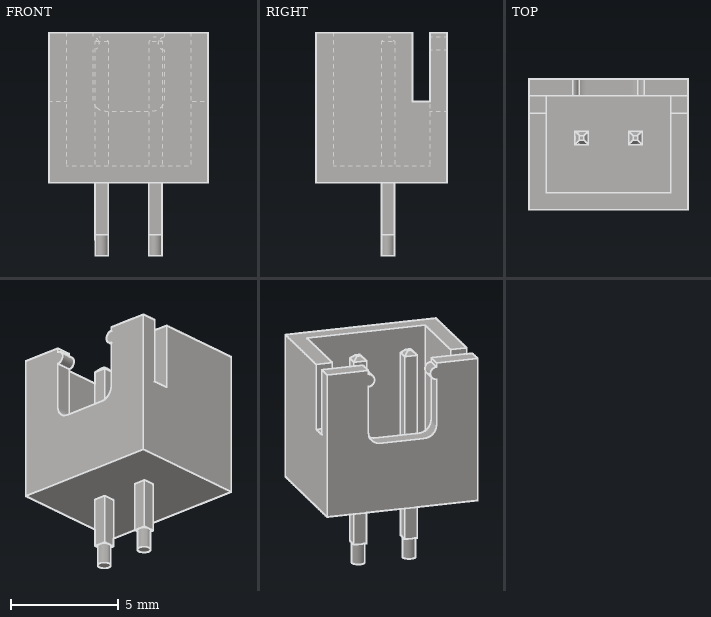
import cadquery as cq


length = 7.4
depth = 6.1
total_height = 10.4
wall = 0.8
floor = wall

pin_pitch = 2.5
pin_width = 0.62
pin_y = 0.3
pin_below_rim = 0.2
tip_height = 0.21
tip_width = pin_width - 2 * tip_height
square_tail = 2.4
round_tail = 1.0

slot_depth = 3.2
slot_width = wall
post_width = 2.03
gap_depth = 3.65
gap_fillet = 0.6
latch_radius = 0.3
latch_below_rim = 0.2

height = total_height - square_tail - round_tail
gap_width = length - 2 * post_width
back_face = depth / 2
back_wall_center = back_face - wall / 2


def make_shell():
    """Box with a cavity open at the top, surrounded by equal walls."""
    cavity_height = height - floor
    cavity = cq.Workplane("XY").workplane(offset=floor).rect(length - 2 * wall, depth - 2 * wall)
    return (
        cq.Workplane("XY")
        .box(length, depth, height, centered=(True, True, False))
        .cut(cavity.extrude(cavity_height))
    )


def make_back_gap():
    """Opening through the back wall, with rounded bottom corners."""
    return (
        cq.Workplane("XY")
        .box(gap_width, wall, gap_depth, centered=(True, True, False))
        .edges("|Y and <Z")
        .fillet(gap_fillet)
        .translate((0, back_wall_center, height - gap_depth))
    )


def make_side_slots():
    """Slots through both side walls, just in front of the back wall."""
    return (
        cq.Workplane("XY")
        .box(length, slot_width, slot_depth, centered=(True, True, False))
        .translate((0, back_face - wall - slot_width / 2, height - slot_depth))
    )


def make_latch(side):
    """Half-round ridge on the gap side of a post; its other half lies inside the post."""
    latch_z = height - latch_below_rim - latch_radius
    return (
        cq.Workplane("XZ", origin=(side * gap_width / 2, back_face, latch_z))
        .circle(latch_radius)
        .extrude(wall)
    )


def make_pin(x):
    """Square pin with a blunt pyramid tip and a round tail end."""
    shoulder = height - pin_below_rim - tip_height
    shaft = (
        cq.Workplane("XY", origin=(x, pin_y, -square_tail))
        .rect(pin_width, pin_width)
        .extrude(square_tail + shoulder)
    )
    tip = (
        cq.Workplane("XY", origin=(x, pin_y, shoulder))
        .rect(pin_width, pin_width)
        .workplane(offset=tip_height)
        .rect(tip_width, tip_width)
        .loft(ruled=True)
    )
    tail = (
        cq.Workplane("XY", origin=(x, pin_y, -square_tail))
        .circle(pin_width / 2)
        .extrude(-round_tail)
    )
    return shaft.union(tip).union(tail)


result = make_shell().cut(make_back_gap()).cut(make_side_slots())
for side in (-1, 1):
    result = result.union(make_latch(side))
    result = result.union(make_pin(side * pin_pitch / 2))